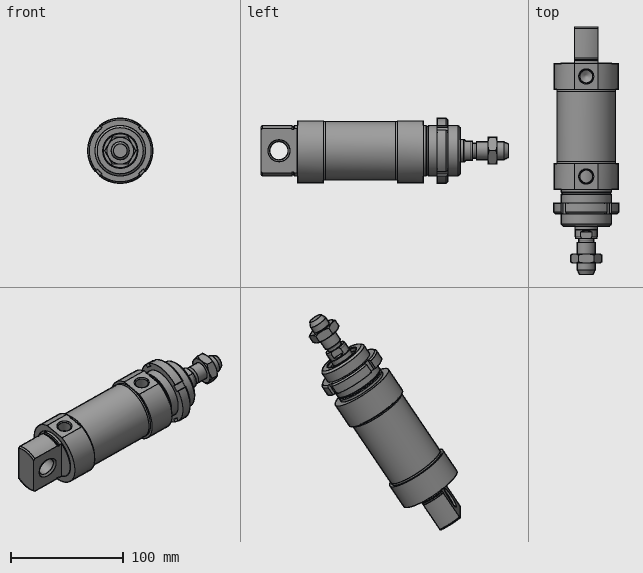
import cadquery as cq
import math

LENGTH = 220.0

CAP_RADIUS = 57.0 / 2
CAP_LENGTH = 22.9
CAP_FLAT_WIDTH = 21.0
CAP_FLAT_HEIGHT = math.sqrt(CAP_RADIUS**2 - (CAP_FLAT_WIDTH / 2) ** 2)
FRONT_CAP_START = 75.7
FRONT_CAP_END = FRONT_CAP_START + CAP_LENGTH
REAR_CAP_START = 164.5
REAR_CAP_END = REAR_CAP_START + CAP_LENGTH
PORT_DIAMETER = 11.5
PORT_RIM_DIAMETER = 13.5
PORT_POINT_ANGLE = 118.0
REAR_PORT_DEPTH = 11.0

BARREL_RADIUS = 52.4 / 2
COLLAR_LENGTH = 1.8

NECK_RADIUS = 44.9 / 2
NECK_START = 43.0
NECK_CHAMFER = 2.0
RELIEF_DEPTH = 0.9
RELIEF_FLOOR = 1.3
FRONT_RELIEF_START = 71.0
REAR_RELIEF_END = 192.3

RECESS_RADIUS = 30.0 / 2
RECESS_DEPTH = 3.5
RECESS_CHAMFER = 0.7
BORE_MOUTH_RADIUS = 22.0 / 2

TANG_THICKNESS = CAP_FLAT_WIDTH
TANG_CHAMFER = 1.3
TANG_BOSS_LENGTH = 0.7
PIVOT_DIAMETER = 16.0
PIVOT_RIM_DIAMETER = 19.5
PIVOT_TO_END = 16.0

RING_RADIUS = 58.0 / 2
RING_START = 54.0
RING_END = 63.5
RING_CHAMFER = 1.5
SLOT_COUNT = 4
SLOT_WIDTH = 6.0
SLOT_FLOOR_RADIUS = 26.0

ROD_RADIUS = 20.0 / 2
ROD_START = 32.0
ROD_NOSE_RADIUS = 19.5 / 2
ROD_NOSE_END = 39.8
ROD_CHAMFER_LENGTH = 1.8
ROD_CHAMFER_DEPTH = 0.5
WRENCH_FLATS = 17.0
WRENCH_FLAT_END = 37.8
THREAD_RADIUS = 16.0 / 2
THREAD_END = 28.4
UNDERCUT_RADIUS = 13.5 / 2
UNDERCUT_FILLET = THREAD_RADIUS - UNDERCUT_RADIUS
TIP_RADIUS = 12.0 / 2
TIP_LENGTH = 4.2

NUT_START = 10.1
NUT_THICKNESS = 8.4
NUT_FLATS = 24.0
NUT_FACE_RADIUS = 11.9
NUT_CHAMFER_ANGLE = 30.0


def revolve_profile(points):
    """Solid of revolution about Y from (radius, y) points."""
    return cq.Workplane("XY").polyline(points).close().revolve(360, (0, 0, 0), (0, 1, 0))


def flatten_top(cap, start, end):
    """Cut the flat port face on the +Z side of a cap."""
    flat = cq.Workplane("XY").box(
        2 * CAP_RADIUS, end - start, CAP_RADIUS, centered=(True, False, False)
    )
    return cap.cut(flat.translate((0, start, CAP_FLAT_HEIGHT)))


def port_cutter(y, depth, point_depth):
    """Drill for a port in the flat: countersunk rim, straight bore, conical point."""
    radius = PORT_DIAMETER / 2
    rim_radius = PORT_RIM_DIAMETER / 2
    bore_bottom = CAP_FLAT_HEIGHT - depth
    points = [
        (0, CAP_FLAT_HEIGHT),
        (rim_radius, CAP_FLAT_HEIGHT),
        (radius, CAP_FLAT_HEIGHT - (rim_radius - radius)),
        (radius, bore_bottom),
        (0, bore_bottom - point_depth),
    ]
    drill = cq.Workplane("XZ").polyline(points).close().revolve(360, (0, 0, 0), (0, 1, 0))
    return drill.translate((0, y, 0))


def make_front_cap():
    relief_radius = NECK_RADIUS - RELIEF_DEPTH
    relief_floor_end = FRONT_RELIEF_START + RELIEF_FLOOR
    recess_floor = NECK_START + RECESS_DEPTH
    cap = revolve_profile([
        (ROD_RADIUS, recess_floor + BORE_MOUTH_RADIUS - ROD_RADIUS),
        (BORE_MOUTH_RADIUS, recess_floor),
        (RECESS_RADIUS, recess_floor),
        (RECESS_RADIUS, NECK_START + RECESS_CHAMFER),
        (RECESS_RADIUS + RECESS_CHAMFER, NECK_START),
        (NECK_RADIUS - NECK_CHAMFER, NECK_START),
        (NECK_RADIUS, NECK_START + NECK_CHAMFER),
        (NECK_RADIUS, FRONT_RELIEF_START),
        (relief_radius, FRONT_RELIEF_START),
        (relief_radius, relief_floor_end),
        (NECK_RADIUS, relief_floor_end + RELIEF_DEPTH),
        (NECK_RADIUS, FRONT_CAP_START),
        (CAP_RADIUS, FRONT_CAP_START),
        (CAP_RADIUS, FRONT_CAP_END),
        (BARREL_RADIUS, FRONT_CAP_END),
        (BARREL_RADIUS, FRONT_CAP_END + COLLAR_LENGTH),
        (ROD_RADIUS, FRONT_CAP_END + COLLAR_LENGTH),
    ])
    cap = flatten_top(cap, FRONT_CAP_START, FRONT_CAP_END)
    port_y = (FRONT_CAP_START + FRONT_CAP_END) / 2
    return cap.cut(port_cutter(port_y, CAP_FLAT_HEIGHT, 0))


def make_rear_cap():
    relief_radius = NECK_RADIUS - RELIEF_DEPTH
    relief_floor_start = REAR_RELIEF_END - RELIEF_FLOOR
    cap = revolve_profile([
        (0, REAR_CAP_START - COLLAR_LENGTH),
        (BARREL_RADIUS, REAR_CAP_START - COLLAR_LENGTH),
        (BARREL_RADIUS, REAR_CAP_START),
        (CAP_RADIUS, REAR_CAP_START),
        (CAP_RADIUS, REAR_CAP_END),
        (NECK_RADIUS, REAR_CAP_END),
        (NECK_RADIUS, relief_floor_start - RELIEF_DEPTH),
        (relief_radius, relief_floor_start),
        (relief_radius, REAR_RELIEF_END),
        (NECK_RADIUS, REAR_RELIEF_END),
        (NECK_RADIUS, LENGTH - TANG_CHAMFER),
        (NECK_RADIUS - TANG_CHAMFER, LENGTH),
        (0, LENGTH),
    ])
    cap = flatten_top(cap, REAR_CAP_START, REAR_CAP_END)

    side_start = REAR_CAP_END + TANG_BOSS_LENGTH
    side = cq.Workplane("XY").box(
        NECK_RADIUS, LENGTH - side_start, 2 * NECK_RADIUS, centered=(False, False, True)
    ).translate((TANG_THICKNESS / 2, side_start, 0))
    cap = cap.cut(side).cut(side.mirror("YZ"))

    half = TANG_THICKNESS / 2
    hole_radius = PIVOT_DIAMETER / 2
    rim_radius = PIVOT_RIM_DIAMETER / 2
    rim_depth = rim_radius - hole_radius
    pivot = (
        cq.Workplane("XY")
        .polyline([
            (-half, 0),
            (-half, rim_radius),
            (rim_depth - half, hole_radius),
            (half - rim_depth, hole_radius),
            (half, rim_radius),
            (half, 0),
        ])
        .close()
        .revolve(360, (0, 0, 0), (1, 0, 0))
        .translate((0, LENGTH - PIVOT_TO_END, 0))
    )
    cap = cap.cut(pivot)

    port_y = (REAR_CAP_START + REAR_CAP_END) / 2
    point_depth = PORT_DIAMETER / 2 / math.tan(math.radians(PORT_POINT_ANGLE / 2))
    return cap.cut(port_cutter(port_y, REAR_PORT_DEPTH, point_depth))


def make_barrel():
    start = FRONT_CAP_END + COLLAR_LENGTH
    end = REAR_CAP_START - COLLAR_LENGTH
    return revolve_profile([(0, start), (BARREL_RADIUS, start), (BARREL_RADIUS, end), (0, end)])


def make_ring_nut():
    ring = revolve_profile([
        (NECK_RADIUS, RING_START),
        (RING_RADIUS - RING_CHAMFER, RING_START),
        (RING_RADIUS, RING_START + RING_CHAMFER),
        (RING_RADIUS, RING_END),
        (NECK_RADIUS, RING_END),
    ])
    slot = cq.Workplane("XY").box(
        RING_RADIUS, RING_END - RING_START, SLOT_WIDTH, centered=(False, False, True)
    ).translate((SLOT_FLOOR_RADIUS, RING_START, 0))
    step = 360 / SLOT_COUNT
    for index in range(SLOT_COUNT):
        ring = ring.cut(slot.rotate((0, 0, 0), (0, 1, 0), (index + 0.5) * step))
    return ring


def make_rod():
    rod_end = FRONT_CAP_END + COLLAR_LENGTH
    rod = (
        cq.Workplane("XY")
        .moveTo(0, 0)
        .lineTo(TIP_RADIUS, 0)
        .lineTo(THREAD_RADIUS, TIP_LENGTH)
        .lineTo(THREAD_RADIUS, THREAD_END)
        .radiusArc((UNDERCUT_RADIUS, THREAD_END + UNDERCUT_FILLET), UNDERCUT_FILLET)
        .lineTo(UNDERCUT_RADIUS, ROD_START)
        .lineTo(ROD_NOSE_RADIUS - ROD_CHAMFER_DEPTH, ROD_START)
        .lineTo(ROD_NOSE_RADIUS, ROD_START + ROD_CHAMFER_LENGTH)
        .lineTo(ROD_NOSE_RADIUS, ROD_NOSE_END)
        .lineTo(ROD_RADIUS, ROD_NOSE_END + ROD_RADIUS - ROD_NOSE_RADIUS)
        .lineTo(ROD_RADIUS, rod_end)
        .lineTo(0, rod_end)
        .close()
        .revolve(360, (0, 0, 0), (0, 1, 0))
    )
    half = WRENCH_FLATS / 2
    ramp = ROD_RADIUS - half
    flat = (
        cq.Workplane("YZ")
        .polyline([
            (ROD_START, half),
            (WRENCH_FLAT_END, half),
            (WRENCH_FLAT_END + ramp, ROD_RADIUS),
            (ROD_START, ROD_RADIUS),
        ])
        .close()
        .extrude(ROD_RADIUS, both=True)
    )
    return rod.cut(flat).cut(flat.mirror("XY"))


def make_hex_nut():
    corner_radius = NUT_FLATS / math.sqrt(3)
    chamfer = (corner_radius - NUT_FACE_RADIUS) * math.tan(math.radians(NUT_CHAMFER_ANGLE))
    end = NUT_START + NUT_THICKNESS
    hexagon = (
        cq.Workplane("XZ", origin=(0, end, 0)).polygon(6, 2 * corner_radius).extrude(NUT_THICKNESS)
    )
    envelope = revolve_profile([
        (THREAD_RADIUS, NUT_START),
        (NUT_FACE_RADIUS, NUT_START),
        (corner_radius, NUT_START + chamfer),
        (corner_radius, end - chamfer),
        (NUT_FACE_RADIUS, end),
        (THREAD_RADIUS, end),
    ])
    return hexagon.intersect(envelope)


front_cap = make_front_cap()
rear_cap = make_rear_cap()
barrel = make_barrel()
ring_nut = make_ring_nut()
rod = make_rod()
hex_nut = make_hex_nut()

result = cq.Compound.makeCompound([
    front_cap.val(),
    rear_cap.val(),
    barrel.val(),
    ring_nut.val(),
    rod.val(),
    hex_nut.val(),
])